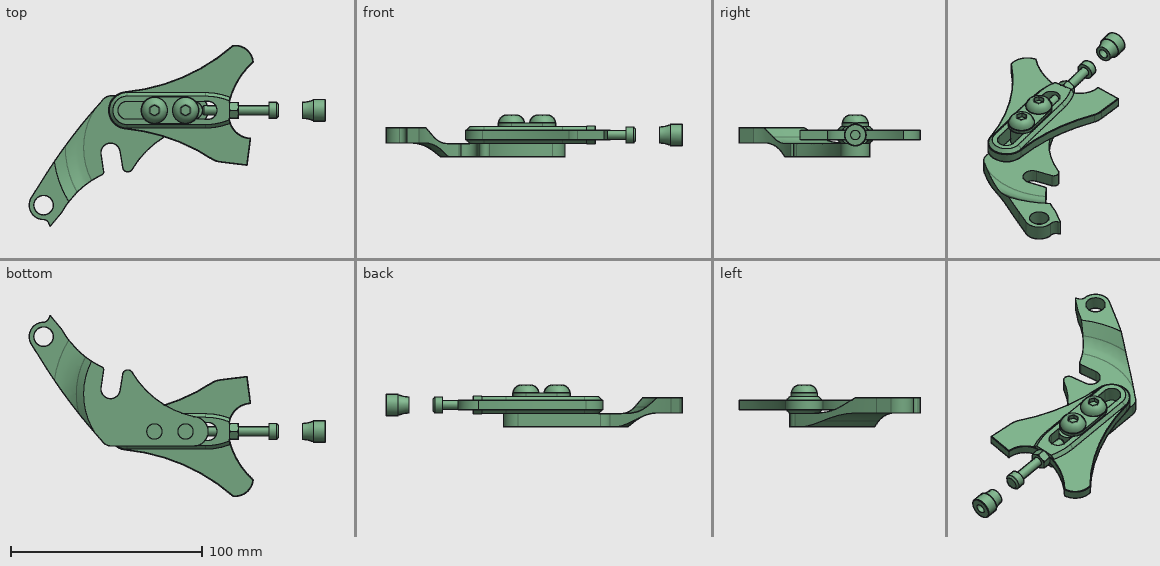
import cadquery as cq
import math


screw_x = -0.2
screw_pitch = 16.3
screw_positions = [(screw_x, 0), (screw_x + screw_pitch, 0)]
shank_d = 8.0
adjuster_d = 5.0
slot_width = 9.3

base_thickness = 7.0
pad_bottom = 0.3
pad_top = 8.4
arm_width = 15.3
arm_end_x = 20.3
key_left_x = -2.2
pivot = (-58.1, -49.6)
pivot_r = 7.6
pivot_hole_d = 10.0
edge_angle = 57.4
notch_center = (-23.1, -22.2)
notch_r = 5.0
notch_lean = 7.8
ramp_axis = (0.6, -19.5)
ramp_inner_r = 37.8
ramp_outer_r = 53.6
ramp_angle = 38.7
ramp_limit_r = 93

rib_height = 9.0
rib_r = 9.3
rib_chamfer = 1.9
nose_x = -14.4
taper_start_x = 26.7
plate_end_x = 39.0
taper_end_y = 7.0
web_nose_r = 9.8
web_edge_chamfer = 0.3
web_end_half_width = 4.3
flank_center = (-24.8, 109.1)
slot_left_x = -19.2
slot_right_x = 32.5

washer_d = 14.0
washer_thickness = 1.9
head_d = 13.6
head_rim = 0.3
head_height = 4.2
head_flat_r = 3.0
head_shoulder = (6.0, 2.2)
socket_flats = 4.8
socket_depth = 2.5

adjuster_tip_chamfer = 0.8
adjuster_head_x = 59.7
adjuster_head_length = 5.1
adjuster_head_d = 8.5
adjuster_head_chamfer = 1.1
nut_width = 4.6
nut_flats = 8.4
nut_chamfer = 0.5
bushing_start_x = 77.2
bushing_step_x = 82.9
bushing_end_x = 89.3
bushing_nose_d = 8.5
bushing_flare_d = 10.8
bushing_d = 11.5
bushing_chamfer = 0.3

arm_half_width = arm_width / 2
washer_top = rib_height + washer_thickness
adjuster_z = rib_height / 2
key_end_x = arm_end_x + slot_width / 2


def polar(center, radius, degrees):
    """Point at the given radius and angle around a centre."""
    angle = math.radians(degrees)
    return (center[0] + radius * math.cos(angle), center[1] + radius * math.sin(angle))


def obround(left_x, right_x, width, bottom, top):
    """Upright bar along X with round ends centred at left_x and right_x."""
    length = right_x - left_x + width
    return (
        cq.Workplane("XY", origin=((left_x + right_x) / 2, 0, bottom))
        .slot2D(length, width)
        .extrude(top - bottom)
    )


def cylinder_x(start_x, end_x, diameter):
    """Round bar along the adjuster axis."""
    return (
        cq.Workplane("YZ", origin=(start_x, 0, adjuster_z))
        .circle(diameter / 2)
        .extrude(end_x - start_x)
    )


def make_arm_outline():
    """Arm contour extruded over the full height of base and pad."""
    end_center = (arm_end_x, 0)
    return (
        cq.Workplane("XY", origin=(0, 0, -base_thickness))
        .moveTo(*polar(pivot, pivot_r, edge_angle + 90))
        .lineTo(-59.7, -37.8)
        .threePointArc((-45.0, -16.1), (-27.7, 4.8))
        .threePointArc((-25.7, 6.8), (-22.8, arm_half_width))
        .lineTo(arm_end_x, arm_half_width)
        .threePointArc(polar(end_center, arm_half_width, 0), polar(end_center, arm_half_width, -82))
        .threePointArc((-1.4, -18.6), (-11.6, -30.7))
        .threePointArc((-14.1, -32.2), (-16.7, -30.2))
        .lineTo(*polar(notch_center, notch_r, notch_lean))
        .threePointArc(
            polar(notch_center, notch_r, notch_lean + 90),
            polar(notch_center, notch_r, notch_lean + 180),
        )
        .lineTo(-26.7, -32.1)
        .threePointArc((-26.8, -33.0), (-27.6, -33.8))
        .threePointArc((-38.0, -40.5), (-48.5, -53.3))
        .lineTo(-54.7, -60.8)
        .lineTo(-55.3, -59.5)
        .threePointArc((-56.4, -57.8), polar(pivot, pivot_r, -94))
        .threePointArc(
            polar(pivot, pivot_r, -150), polar(pivot, pivot_r, edge_angle + 90)
        )
        .close()
        .extrude(base_thickness + pad_top)
    )


def make_arm_layer():
    """Disc that climbs from the base level to the pad level over a conical ramp."""
    slope = math.radians(ramp_angle)
    top_corner_r = ramp_outer_r - pad_top / math.tan(slope)
    top_tangent = top_corner_r - ramp_inner_r
    bottom_corner_r = ramp_inner_r + (pad_bottom + base_thickness) / math.tan(slope)
    bottom_tangent = ramp_outer_r - bottom_corner_r
    lower_blend_end = (
        top_corner_r + top_tangent * math.cos(slope),
        top_tangent * math.sin(slope),
    )
    upper_blend_start = (
        bottom_corner_r - bottom_tangent * math.cos(slope),
        pad_bottom - bottom_tangent * math.sin(slope),
    )
    return (
        cq.Workplane("XZ", origin=(*ramp_axis, 0))
        .moveTo(0, 0)
        .lineTo(ramp_inner_r, 0)
        .tangentArcPoint(lower_blend_end, relative=False)
        .lineTo(ramp_outer_r, pad_top)
        .lineTo(ramp_limit_r, pad_top)
        .lineTo(ramp_limit_r, pad_bottom)
        .lineTo(ramp_outer_r, pad_bottom)
        .tangentArcPoint(upper_blend_start, relative=False)
        .lineTo(ramp_inner_r, -base_thickness)
        .lineTo(0, -base_thickness)
        .close()
        .revolve(360, (0, 0, 0), (0, 1, 0))
    )


def make_arm():
    """Stepped arm with a key that guides the slide plate."""
    arm = make_arm_outline().intersect(make_arm_layer())
    arm = arm.union(obround(key_left_x, arm_end_x, slot_width, 0, rib_height))
    pivot_hole = (
        cq.Workplane("XY").center(*pivot).circle(pivot_hole_d / 2).extrude(pad_top)
    )
    screw_holes = (
        cq.Workplane("XY", origin=(0, 0, -base_thickness))
        .pushPoints(screw_positions)
        .circle(shank_d / 2)
        .extrude(base_thickness + rib_height)
    )
    return arm.cut(pivot_hole).cut(screw_holes)


def make_rib():
    """Thick bar with a round nose, a tapered far end and chamfered long edges."""
    taper_middle_x = (taper_start_x + plate_end_x) / 2
    taper_middle_y = rib_r - (rib_r - taper_end_y) / 4
    rib = (
        cq.Workplane("XY")
        .moveTo(plate_end_x, -taper_end_y)
        .lineTo(plate_end_x, taper_end_y)
        .threePointArc((taper_middle_x, taper_middle_y), (taper_start_x, rib_r))
        .lineTo(nose_x, rib_r)
        .threePointArc((nose_x - rib_r, 0), (nose_x, -rib_r))
        .lineTo(taper_start_x, -rib_r)
        .threePointArc((taper_middle_x, -taper_middle_y), (plate_end_x, -taper_end_y))
        .close()
        .extrude(rib_height)
    )
    return rib.faces("|Z").edges("not(>X)").chamfer(rib_chamfer)


def make_web():
    """Thin forked plate whose flanks run tangent to its round nose."""
    nose = (nose_x, 0)
    center_x, center_y = flank_center
    flank_r = math.hypot(nose_x - center_x, center_y) - web_nose_r
    nose_angle = math.degrees(math.atan2(center_y, center_x - nose_x))

    def flank_point(x):
        return (x, center_y - math.sqrt(flank_r**2 - (x - center_x) ** 2))

    def mirrored(point):
        return (point[0], -point[1])

    web = (
        cq.Workplane("XY", origin=(0, 0, rib_chamfer))
        .moveTo(*polar(nose, web_nose_r, nose_angle))
        .threePointArc(flank_point(15.5), flank_point(40.9))
        .threePointArc((48.0, 32.0), (51.6, 25.3))
        .threePointArc((44.2, 16.5), (plate_end_x, web_end_half_width))
        .lineTo(plate_end_x, -web_end_half_width)
        .threePointArc((43.2, -12.0), (50.2, -14.5))
        .lineTo(48.4, -28.8)
        .lineTo(34.4, -27.1)
        .threePointArc((32.2, -26.7), mirrored(flank_point(30.0)))
        .threePointArc(
            mirrored(flank_point(12.4)), mirrored(polar(nose, web_nose_r, nose_angle))
        )
        .threePointArc(
            (nose_x - web_nose_r, 0), polar(nose, web_nose_r, nose_angle)
        )
        .close()
        .extrude(rib_height - 2 * rib_chamfer)
    )
    return web.faces("|Z").edges("not |Y").chamfer(web_edge_chamfer)


def make_slide_plate():
    """Rib and web in one piece, with the guide slot and adjuster hole."""
    slot_r = slot_width / 2
    slot = obround(slot_left_x + slot_r, slot_right_x - slot_r, slot_width, 0, rib_height)
    adjuster_hole = cylinder_x(slot_right_x - slot_r, plate_end_x, adjuster_d)
    return make_rib().union(make_web()).cut(slot).cut(adjuster_hole)


def make_washer_plate():
    """Obround washer shared by both button screws."""
    left_x = screw_x
    right_x = screw_x + screw_pitch
    washer = obround(left_x, right_x, washer_d, rib_height, washer_top)
    holes = (
        cq.Workplane("XY", origin=(0, 0, rib_height))
        .pushPoints(screw_positions)
        .circle(shank_d / 2)
        .extrude(washer_thickness)
    )
    return washer.cut(holes)


def make_button_screw(position):
    """Domed screw with a hexagon socket, its shank ending flush with the arm."""
    shank_end = -(washer_top + base_thickness)
    screw = (
        cq.Workplane("XZ")
        .moveTo(0, shank_end)
        .lineTo(shank_d / 2, shank_end)
        .lineTo(shank_d / 2, 0)
        .lineTo(head_d / 2, 0)
        .lineTo(head_d / 2, head_rim)
        .threePointArc(head_shoulder, (head_flat_r, head_height))
        .lineTo(0, head_height)
        .close()
        .revolve(360, (0, 0, 0), (0, 1, 0))
    )
    socket = (
        cq.Workplane("XY", origin=(0, 0, head_height - socket_depth))
        .polygon(6, socket_flats, circumscribed=True)
        .extrude(socket_depth)
    )
    return screw.cut(socket).translate((*position, washer_top))


def make_adjuster():
    """Cap screw whose tip bears on the arm key."""
    shank = cylinder_x(key_end_x, adjuster_head_x, adjuster_d)
    shank = shank.faces("<X").chamfer(adjuster_tip_chamfer)
    head_end_x = adjuster_head_x + adjuster_head_length
    head = cylinder_x(adjuster_head_x, head_end_x, adjuster_head_d)
    head = head.faces(">X").chamfer(adjuster_head_chamfer)
    return shank.union(head)


def make_nut():
    """Hexagon nut with its corners bevelled at both ends."""
    nut_corners = nut_flats / math.cos(math.radians(30))
    end_x = plate_end_x + nut_width
    nut = (
        cq.Workplane("YZ", origin=(plate_end_x, 0, adjuster_z))
        .polygon(6, nut_flats, circumscribed=True)
        .extrude(nut_width)
    )
    envelope = cylinder_x(plate_end_x, end_x, nut_corners)
    envelope = envelope.edges().chamfer(nut_chamfer)
    return nut.intersect(envelope).cut(cylinder_x(plate_end_x, end_x, adjuster_d))


def make_bushing():
    """Flared nose and a stepped collar around a through bore."""
    flare_length = bushing_step_x - bushing_start_x
    length = bushing_end_x - bushing_start_x
    nose_r = bushing_nose_d / 2
    flare_r = bushing_flare_d / 2
    flare_middle_r = nose_r + (flare_r - nose_r) / 4
    bore_r = adjuster_d / 2
    outer_r = bushing_d / 2
    return (
        cq.Workplane("XY", origin=(bushing_start_x, 0, adjuster_z))
        .moveTo(0, bore_r)
        .lineTo(length, bore_r)
        .lineTo(length, outer_r - bushing_chamfer)
        .lineTo(length - bushing_chamfer, outer_r)
        .lineTo(flare_length, outer_r)
        .lineTo(flare_length, flare_r)
        .threePointArc((flare_length / 2, flare_middle_r), (0, nose_r))
        .close()
        .revolve(360, (0, 0, 0), (1, 0, 0))
    )


arm = make_arm()
slide_plate = make_slide_plate()
washer_plate = make_washer_plate()
button_screws = [make_button_screw(position) for position in screw_positions]
adjuster = make_adjuster()
nut = make_nut()
bushing = make_bushing()

result = cq.Compound.makeCompound(
    [
        arm.val(),
        slide_plate.val(),
        washer_plate.val(),
        *[screw.val() for screw in button_screws],
        adjuster.val(),
        nut.val(),
        bushing.val(),
    ]
)